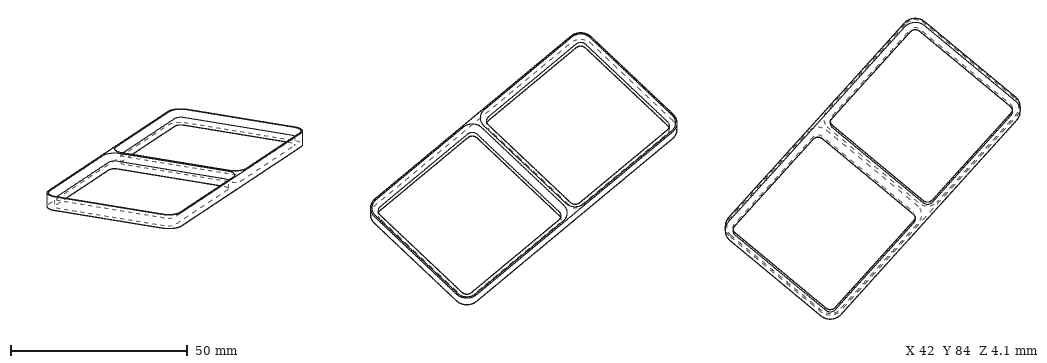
import cadquery as cq
import math

cell_pitch = 42.0
cell_count = 2
frame_height = 4.1
outer_radius = 4.0

rim_width = 0.4
slope_width = 1.8
slope_height = 1.8

frame_length = cell_pitch * cell_count
slope_angle = math.degrees(math.atan2(slope_width, slope_height))
wall_height = frame_height - slope_height
mouth_size = cell_pitch - 2 * rim_width
mouth_radius = outer_radius - rim_width
opening_size = mouth_size - 2 * slope_width
opening_radius = mouth_radius - slope_width


def rounded_rectangle(width, length, radius):
    return cq.Sketch().rect(width, length).vertices().fillet(radius)


def cell_opening(y_center):
    """Straight opening that flares out to a wider mouth at the top."""
    opening = rounded_rectangle(opening_size, opening_size, opening_radius)
    mouth = rounded_rectangle(mouth_size, mouth_size, mouth_radius)
    straight = cq.Workplane("XY").placeSketch(opening).extrude(wall_height)
    flare = (
        cq.Workplane("XY", origin=(0, 0, frame_height))
        .placeSketch(mouth)
        .extrude(-slope_height, taper=slope_angle)
    )
    return straight.union(flare).translate((0, y_center, 0))


outline = rounded_rectangle(cell_pitch, frame_length, outer_radius)
result = cq.Workplane("XY").placeSketch(outline).extrude(frame_height)

for index in range(cell_count):
    y_center = (index + 0.5) * cell_pitch - frame_length / 2
    result = result.cut(cell_opening(y_center))